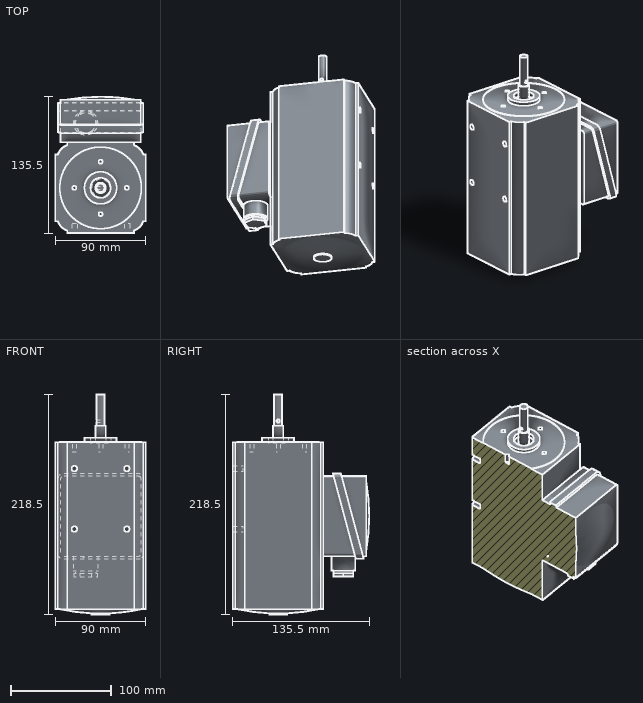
import cadquery as cq
import math

BODY_WIDTH = 90.0
BODY_HEIGHT = 165.8
FLAT_WIDTH = 66.5
CORNER_STEP = 2.6
CORNER_RADIUS = 15.0

PILOT_DIAMETER = 81.0
PILOT_HEIGHT = 0.5
COLLAR_DIAMETER = 32.0
COLLAR_HEIGHT = 4.0
COLLAR_BORE_DIAMETER = 20.0
COLLAR_BORE_DEPTH = 5.0
FACE_HOLE_DIAMETER = 4.0
FACE_HOLE_CIRCLE_RADIUS = 26.0
FACE_HOLE_DEPTH = 10.0
FACE_HOLE_COUNT = 4

SHAFT_DIAMETER = 8.2
SHAFT_TOP = 213.2
SHAFT_LENGTH = 31.0
SLEEVE_DIAMETER = 10.5
PIN_HOLE_DIAMETER = 2.8
PIN_HOLE_HEIGHT = 4.5

SIDE_HOLE_DIAMETER = 5.5
SIDE_HOLE_SPACING_X = 52.0
SIDE_HOLE_SPACING_Z = 60.0
SIDE_HOLE_CENTER_Z = 109.5
SIDE_HOLE_DEPTH = 10.0

CAP_RADIUS = 40.5
CAP_RISE = 4.4
CAP_BOSS_DIAMETER = 18.0
CAP_BOSS_HEIGHT = 0.9

BOX_SIZE = 79.8
BOX_DEPTH = 42.5
BOX_CORNER_RADIUS = 3.0
BOX_CENTER_Z = 92.4
LID_DOME_RADIUS = 34.0
LID_DOME_RISE = 3.0

RIM_SIZE = 84.8
RIM_CORNER_RADIUS = 5.0
RIM_TILT = 15.0
RIM_WIDTH_Y = 7.9
RIM_CENTER_Y = 69.6

GLAND_X = -15.0
GLAND_Y = 64.7
GLAND_DIAMETER = 24.0
GLAND_LENGTH = 14.3
NECK_DIAMETER = 20.0
NECK_LENGTH = 2.4
HEX_ACROSS_FLATS = 20.0
HEX_LENGTH = 3.4
HEX_SIDES = 6

OVERLAP = 1.0

BODY_HALF = BODY_WIDTH / 2
PILOT_TOP = BODY_HEIGHT + PILOT_HEIGHT
COLLAR_TOP = PILOT_TOP + COLLAR_HEIGHT
SLEEVE_TOP = SHAFT_TOP - SHAFT_LENGTH
BORE_FLOOR = COLLAR_TOP - COLLAR_BORE_DEPTH
BOX_BOTTOM = BOX_CENTER_Z - BOX_SIZE / 2
BOX_FACE_Y = BODY_HALF + BOX_DEPTH


def cylinder(diameter, bottom, top):
    return cq.Workplane("XY").workplane(offset=bottom).circle(diameter / 2).extrude(top - bottom)


def spherical_cap(base_radius, rise):
    """Cap on the XY plane, bulging towards +Z."""
    sphere_radius = (base_radius**2 + rise**2) / (2 * rise)
    half_angle = math.asin(base_radius / sphere_radius) / 2
    mid_x = sphere_radius * math.sin(half_angle)
    mid_z = rise - sphere_radius * (1 - math.cos(half_angle))
    return (
        cq.Workplane("XZ")
        .moveTo(0, -OVERLAP)
        .lineTo(base_radius, -OVERLAP)
        .lineTo(base_radius, 0)
        .threePointArc((mid_x, mid_z), (0, rise))
        .close()
        .revolve(360, (0, 0), (0, 1))
    )


def quarter_turned(x, y, turns):
    """Point (x, y) turned clockwise about the origin by whole quarter turns."""
    for _ in range(turns):
        x, y = y, -x
    return (x, y)


def housing():
    """Square column whose stepped-back corners are rounded."""
    flat_half = FLAT_WIDTH / 2
    round_start = BODY_HALF - CORNER_STEP
    outline = cq.Workplane("XY").moveTo(-flat_half, BODY_HALF)
    for side in range(4):
        outline = (
            outline.lineTo(*quarter_turned(flat_half, BODY_HALF, side))
            .lineTo(*quarter_turned(flat_half, round_start, side))
            .radiusArc(quarter_turned(round_start, flat_half, side), CORNER_RADIUS)
            .lineTo(*quarter_turned(BODY_HALF, flat_half, side))
        )
    return outline.close().extrude(BODY_HEIGHT)


def output_face():
    pilot = cylinder(PILOT_DIAMETER, BODY_HEIGHT - OVERLAP, PILOT_TOP)
    collar = cylinder(COLLAR_DIAMETER, BODY_HEIGHT, COLLAR_TOP)
    return pilot.union(collar)


def face_holes():
    return (
        cq.Workplane("XY")
        .workplane(offset=PILOT_TOP)
        .polarArray(FACE_HOLE_CIRCLE_RADIUS, 0, 360, FACE_HOLE_COUNT)
        .circle(FACE_HOLE_DIAMETER / 2)
        .extrude(-FACE_HOLE_DEPTH)
    )


def shaft():
    sleeve = cylinder(SLEEVE_DIAMETER, BORE_FLOOR - OVERLAP, SLEEVE_TOP)
    rod = cylinder(SHAFT_DIAMETER, SLEEVE_TOP - OVERLAP, SHAFT_TOP)
    pin_hole = (
        cq.Workplane("YZ")
        .center(0, SLEEVE_TOP + PIN_HOLE_HEIGHT)
        .circle(PIN_HOLE_DIAMETER / 2)
        .extrude(SHAFT_DIAMETER, both=True)
    )
    return sleeve.union(rod).cut(pin_hole)


def side_holes():
    return (
        cq.Workplane("XZ", origin=(0, -BODY_HALF, SIDE_HOLE_CENTER_Z))
        .rarray(SIDE_HOLE_SPACING_X, SIDE_HOLE_SPACING_Z, 2, 2)
        .circle(SIDE_HOLE_DIAMETER / 2)
        .extrude(-SIDE_HOLE_DEPTH)
    )


def bottom_cap():
    cap = spherical_cap(CAP_RADIUS, CAP_RISE).rotate((0, 0, 0), (1, 0, 0), 180)
    boss = cylinder(CAP_BOSS_DIAMETER, -CAP_RISE - CAP_BOSS_HEIGHT, 0)
    return cap.union(boss)


def rounded_block(size, corner_radius):
    """Square block reaching from the housing side to the lid face."""
    return (
        cq.Workplane("XZ", origin=(0, BODY_HALF, BOX_CENTER_Z))
        .rect(size, size)
        .extrude(-BOX_DEPTH)
        .edges("|Y")
        .fillet(corner_radius)
    )


def box_rim():
    """Wider rounded block, trimmed to a band between two sloping planes."""
    half_height = RIM_SIZE / 2 + OVERLAP
    shift = half_height * math.tan(math.radians(RIM_TILT))
    near = RIM_CENTER_Y - RIM_WIDTH_Y / 2
    far = RIM_CENTER_Y + RIM_WIDTH_Y / 2
    band = (
        cq.Workplane("YZ", origin=(0, 0, BOX_CENTER_Z))
        .polyline([
            (near + shift, -half_height),
            (far + shift, -half_height),
            (far - shift, half_height),
            (near - shift, half_height),
        ])
        .close()
        .extrude(RIM_SIZE, both=True)
    )
    return rounded_block(RIM_SIZE, RIM_CORNER_RADIUS).intersect(band)


def cable_gland():
    gland_end = BOX_BOTTOM - GLAND_LENGTH
    neck_end = gland_end - NECK_LENGTH
    gland = cylinder(GLAND_DIAMETER, gland_end, BOX_BOTTOM + OVERLAP)
    neck = cylinder(NECK_DIAMETER, neck_end, gland_end + OVERLAP)
    across_corners = HEX_ACROSS_FLATS / math.cos(math.pi / HEX_SIDES)
    hex_end = (
        cq.Workplane("XY")
        .workplane(offset=neck_end)
        .polygon(HEX_SIDES, across_corners)
        .extrude(-HEX_LENGTH)
    )
    return gland.union(neck).union(hex_end).translate((GLAND_X, GLAND_Y, 0))


def terminal_box():
    dome = (
        spherical_cap(LID_DOME_RADIUS, LID_DOME_RISE)
        .rotate((0, 0, 0), (1, 0, 0), -90)
        .translate((0, BOX_FACE_Y, BOX_CENTER_Z))
    )
    box = rounded_block(BOX_SIZE, BOX_CORNER_RADIUS)
    return box.union(box_rim()).union(dome).union(cable_gland())


motor = housing().union(output_face()).union(bottom_cap()).cut(side_holes()).cut(face_holes())
motor = motor.cut(cylinder(COLLAR_BORE_DIAMETER, BORE_FLOOR, COLLAR_TOP))
result = motor.union(shaft()).union(terminal_box())